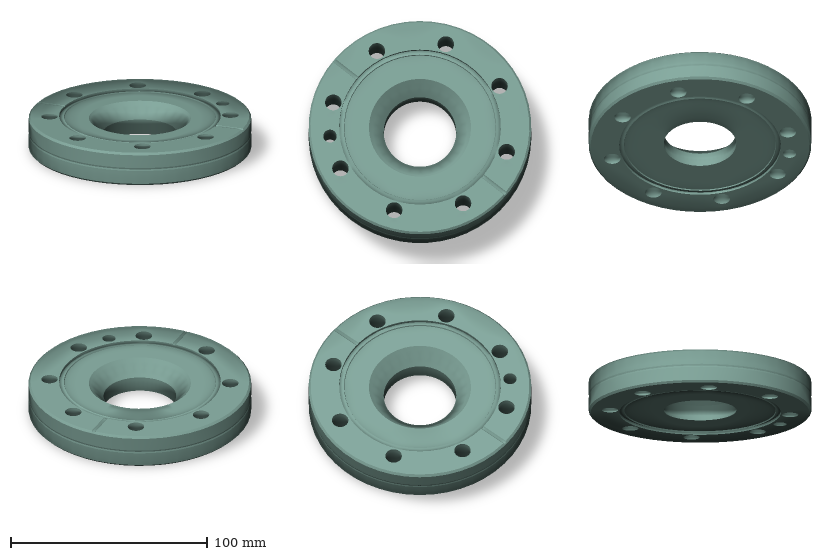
import cadquery as cq
import math

outer_radius = 56.8
thickness = 17.5
rim_chamfer = 1.0

rim_groove_width = 1.6
rim_groove_depth = 0.2

recess_radius = 41.2
knife_radius = 38.7
knife_depth = 0.6
knife_angle = 20.0
seat_depth = 1.1
seat_wall_inset = 0.2

bore_radius = 18.5
mouth_radius = 26.0
mouth_angle = 45.0

bolt_circle_radius = 46.1
bolt_hole_diameter = 8.4
bolt_count = 8
extra_hole_diameter = 6.8
extra_hole_angle = 67.5

leak_groove_width = 2.0
leak_groove_depth = 0.6
leak_groove_angle = 22.5

groove_root_depth = knife_depth + (recess_radius - knife_radius) * math.tan(math.radians(knife_angle))
leak_groove_radius = ((leak_groove_width / 2) ** 2 + leak_groove_depth**2) / (2 * leak_groove_depth)
mouth_length = (mouth_radius - bore_radius) / math.tan(math.radians(mouth_angle))


def revolve_profile(points):
    """Revolve a closed (radius, height) outline about the Z axis."""
    return cq.Workplane("XZ").polyline(points).close().revolve(360, (0, 0, 0), (0, 1, 0))


def make_body():
    disc = cq.Workplane("XY").circle(outer_radius).extrude(thickness)
    return disc.faces("<Z or >Z").chamfer(rim_chamfer)


def make_rim_groove():
    middle = thickness / 2
    half_width = rim_groove_width / 2
    return revolve_profile([
        (outer_radius, middle - half_width),
        (outer_radius - rim_groove_depth, middle),
        (outer_radius, middle + half_width),
    ])


def make_top_recess():
    return revolve_profile([
        (0, thickness),
        (recess_radius, thickness),
        (recess_radius, thickness - groove_root_depth),
        (knife_radius, thickness - knife_depth),
        (knife_radius - seat_wall_inset, thickness - seat_depth),
        (0, thickness - seat_depth),
    ])


def make_bore():
    seat = thickness - seat_depth
    return revolve_profile([
        (0, 0),
        (bore_radius, 0),
        (bore_radius, seat - mouth_length),
        (mouth_radius, seat),
        (0, seat),
    ])


def make_holes():
    bolts = (
        cq.Workplane("XY")
        .polarArray(bolt_circle_radius, 0, 360, bolt_count)
        .circle(bolt_hole_diameter / 2)
        .extrude(thickness)
    )
    extra = (
        cq.Workplane("XY")
        .polarArray(bolt_circle_radius, extra_hole_angle, 360, 1)
        .circle(extra_hole_diameter / 2)
        .extrude(thickness)
    )
    return bolts.union(extra)


def make_leak_groove(angle):
    start_radius = (knife_radius + recess_radius) / 2
    axis_height = thickness - leak_groove_depth + leak_groove_radius
    groove = (
        cq.Workplane("YZ", origin=(start_radius, 0, axis_height))
        .circle(leak_groove_radius)
        .extrude(outer_radius - start_radius)
    )
    return groove.rotate((0, 0, 0), (0, 0, 1), angle)


top_recess = make_top_recess()
bottom_recess = top_recess.mirror("XY", (0, 0, thickness / 2))

result = make_body().cut(make_rim_groove()).cut(top_recess).cut(bottom_recess)
result = result.cut(make_bore()).cut(make_holes())
for groove_angle in (leak_groove_angle, leak_groove_angle + 180):
    result = result.cut(make_leak_groove(groove_angle))